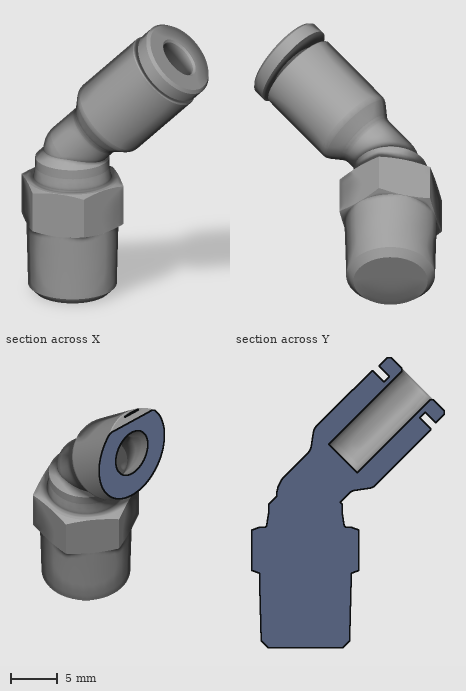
import cadquery as cq
import math


height = 31.25
arm_tilt = 45.0
elbow_z = 16.32
elbow_radius = 3.13

stud_tip_radius = 4.78
stud_top_radius = 4.97
stud_chamfer = 0.78

hex_bottom = 8.0
hex_height = 5.0
hex_flats = 10.0
hex_land_radius = 4.95
hex_corner_drop = 0.3

collar_radius = 4.0
collar_foot_radius = 4.2
collar_foot_fillet = 0.22
collar_taper_end = 14.4

body_radius = 4.5
shoulder_start = 3.9
shoulder_end = 5.75
shoulder_fillet = 1.0
body_end = 14.7
body_end_chamfer = 0.1
stem_radius = 2.75

cap_width = 10.8
cap_depth = 8.7
cap_thickness = 1.63
cap_chamfer = 0.3

socket_radius = 2.15
socket_chamfer = 0.22
socket_floor = shoulder_end

hex_top = hex_bottom + hex_height
hex_corner_radius = hex_flats / 2 / math.cos(math.pi / 6)
cap_rim = (height - elbow_z) / math.cos(math.radians(arm_tilt)) - cap_depth / 2
cap_front = cap_rim + cap_chamfer
cap_back = cap_front - cap_thickness


def make_stud():
    """Tapered threaded end, chamfered at its lower tip."""
    profile = (
        cq.Workplane("XZ")
        .lineTo(stud_tip_radius - stud_chamfer, 0)
        .lineTo(stud_tip_radius, stud_chamfer)
        .lineTo(stud_top_radius, hex_bottom)
        .lineTo(0, hex_bottom)
        .close()
    )
    return profile.revolve()


def make_hexagon():
    """Hexagon with corners on X, both ends turned down by a shallow cone."""
    prism = (
        cq.Workplane("XY")
        .workplane(offset=hex_bottom)
        .polygon(6, 2 * hex_corner_radius)
        .extrude(hex_height)
    )
    envelope = (
        cq.Workplane("XZ")
        .moveTo(0, hex_bottom)
        .lineTo(hex_land_radius, hex_bottom)
        .lineTo(hex_corner_radius, hex_bottom + hex_corner_drop)
        .lineTo(hex_corner_radius, hex_top - hex_corner_drop)
        .lineTo(hex_land_radius, hex_top)
        .lineTo(0, hex_top)
        .close()
        .revolve()
    )
    return prism.intersect(envelope)


def make_collar():
    """Round collar flaring into the hexagon and coned up to the elbow ball."""
    foot_top = hex_top + collar_foot_fillet
    cone_start = elbow_z - (collar_radius - elbow_radius)
    profile = (
        cq.Workplane("XZ")
        .moveTo(0, hex_top)
        .lineTo(collar_foot_radius + collar_foot_fillet, hex_top)
        .radiusArc((collar_foot_radius, foot_top), collar_foot_fillet)
        .lineTo(collar_radius, collar_taper_end)
        .lineTo(collar_radius, cone_start)
        .lineTo(elbow_radius, elbow_z)
        .lineTo(0, elbow_z)
        .close()
    )
    return profile.revolve()


def make_arm_body():
    """Neck widening through a rounded shoulder into the tube body, along Z."""
    turned = (
        cq.Workplane("XZ")
        .lineTo(elbow_radius, 0)
        .lineTo(elbow_radius, shoulder_start)
        .lineTo(body_radius, shoulder_end)
        .lineTo(body_radius, body_end)
        .lineTo(0, body_end)
        .close()
        .revolve()
    )
    rounded = turned.edges("%CIRCLE and (not <Z) and (not >Z)").fillet(shoulder_fillet)
    return rounded.faces(">Z").edges().chamfer(body_end_chamfer)


def make_release_cap():
    """Oval cap, wider along Y, on a round stem."""
    stem = cq.Workplane("XY").workplane(offset=body_end).circle(stem_radius).extrude(cap_back - body_end)
    cap = (
        cq.Workplane("XY")
        .workplane(offset=cap_back)
        .ellipse(cap_depth / 2, cap_width / 2)
        .extrude(cap_thickness)
        .faces(">Z")
        .edges()
        .chamfer(cap_chamfer)
    )
    return stem.union(cap)


def make_socket():
    """Blind tube hole with a chamfered mouth, to be cut from the arm."""
    profile = (
        cq.Workplane("XZ")
        .moveTo(0, socket_floor)
        .lineTo(socket_radius, socket_floor)
        .lineTo(socket_radius, cap_front - socket_chamfer)
        .lineTo(socket_radius + socket_chamfer, cap_front)
        .lineTo(0, cap_front)
        .close()
    )
    return profile.revolve()


def make_arm():
    """Complete arm, tilted about the elbow centre and lifted onto the collar."""
    ball = cq.Workplane("XY").sphere(elbow_radius)
    upright = make_arm_body().union(ball).union(make_release_cap()).cut(make_socket())
    return upright.rotate((0, 0, 0), (0, 1, 0), arm_tilt).translate((0, 0, elbow_z))


result = make_stud().union(make_hexagon()).union(make_collar()).union(make_arm())